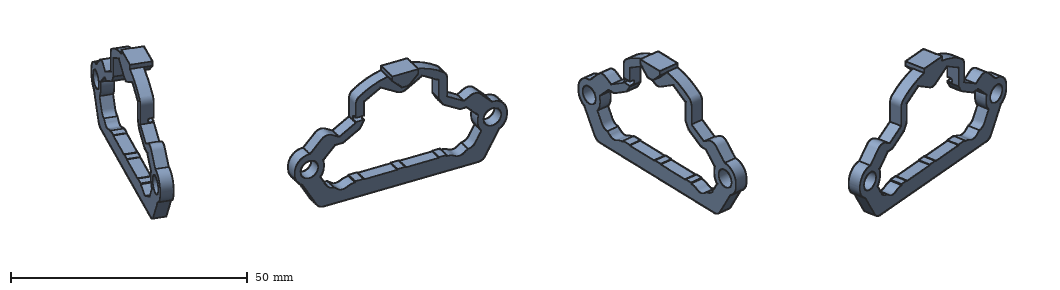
import cadquery as cq
import math

overall_width = 51.04
overall_depth = 4.97
overall_height = 28.77
frame_thickness = 3.0

slope_30 = math.tan(math.radians(30))
slope_60 = math.tan(math.radians(60))
corner_radius = 2.0

hole_diameter = 4.2
lug_x = 22.0
lug_z = 10.2
lug_radius = overall_width / 2 - lug_x
lug_stretch = 0.6

arch_shift = -0.15
wall = 2.0
arch_half_width = 11.0
arch_inner_half_width = arch_half_width - wall
arch_radius = 17.5
arch_top_z = 28.0
arch_center_z = arch_top_z - arch_radius
arch_end_z = arch_center_z + math.sqrt(arch_radius**2 - arch_half_width**2)
shoulder_z = 18.5
peak_x = 5.0
peak_z = 25.45
upright_top_z = peak_z - (arch_inner_half_width - peak_x) * slope_30
v_tip_z = peak_z - peak_x * slope_30

valley_x = 15.0
valley_z = shoulder_z - (valley_x - arch_half_width) * slope_30
arm_outer_sum = 35.9
arm_inner_sum = 30.2
bevel_x = 10.0
bevel_z = shoulder_z - (bevel_x - arch_inner_half_width) * slope_60
ledge_z = 14.42
ledge_x = bevel_x + (bevel_z - ledge_z) / slope_30

base_half_width = 19.7
leg_top_z = 8.0
leg_outer_x = base_half_width + leg_top_z / slope_60
pad_z = 4.02
pad_relief = 0.15
middle_pad_half_width = 1.0
leg_foot_x = 17.27
leg_inner_x = leg_foot_x + (lug_z - pad_z) / slope_60

dip_x = 14.0
dip_z = 2.93
dip_radius = 2.0
dip_outer_angle = math.radians(45)
dip_inner_angle = math.radians(30)
dip_outer_end_x = 16.1
dip_inner_end_x = 11.0
dip_inner_end_z = 3.75

tab_width = 6.3
tab_thickness = 1.1
tab_bottom_z = 25.35

notch_width = 1.0
notch_depth = 1.3
notch_z = 19.2

SIDES = (-1, 1)


def extrude_back(outline, depth=frame_thickness):
    return outline.extrude(-depth)


def polygon(points, depth=frame_thickness):
    return extrude_back(cq.Workplane("XZ").polyline(points).close(), depth)


def arch_x(side, distance):
    """X of a point at the given distance from the middle of the arch."""
    return arch_shift + side * distance


def round_corner(body, point, radius=corner_radius):
    """Fillet the edge that runs along Y through the given (x, z) point."""
    x, z = point
    reach = 0.01
    box = cq.selectors.BoxSelector(
        (x - reach, 0, z - reach),
        (x + reach, frame_thickness, z + reach),
    )
    return body.edges("|Y").edges(box).fillet(radius)


def lobe_corner(side):
    """Sharp corner where a rising shoulder meets the outer edge of an arm."""
    valley = side * arch_x(side, valley_x)
    x = (arm_outer_sum - valley_z + valley * slope_30) / (1 + slope_30)
    return (side * x, arm_outer_sum - x)


def outer_side(side):
    """Outer corners on one side, from the base up to the end of the arch."""
    return [
        (side * base_half_width, 0),
        (side * leg_outer_x, leg_top_z),
        (side * lug_x, arm_outer_sum - lug_x),
        lobe_corner(side),
        (arch_x(side, valley_x), valley_z),
        (arch_x(side, arch_half_width), shoulder_z),
        (arch_x(side, arch_half_width), arch_end_z),
    ]


def make_blank():
    left = outer_side(-1)
    right = outer_side(1)
    outline = (
        cq.Workplane("XZ")
        .polyline(right)
        .threePointArc((arch_shift, arch_top_z), left[-1])
        .polyline(left[::-1], includeCurrent=False)
        .close()
    )
    blank = extrude_back(outline)
    for side in SIDES:
        base_corner = (side * base_half_width, 0)
        arch_end = (arch_x(side, arch_half_width), arch_end_z)
        for sharp in (base_corner, lobe_corner(side), arch_end):
            blank = round_corner(blank, sharp)
    return blank


def window_side(side):
    """Window corners on one side, from the base up to the inner peak."""
    return [
        (side * leg_foot_x, pad_z),
        (side * leg_inner_x, lug_z),
        (side * (arm_inner_sum - lug_z), lug_z),
        (side * (arm_inner_sum - ledge_z), ledge_z),
        (arch_x(side, ledge_x), ledge_z),
        (arch_x(side, bevel_x), bevel_z),
        (arch_x(side, arch_inner_half_width), shoulder_z),
        (arch_x(side, arch_inner_half_width), upright_top_z),
        (arch_x(side, peak_x), peak_z),
    ]


def make_window():
    left = window_side(-1)
    right = window_side(1)
    v_tip = (arch_shift, v_tip_z)
    window = polygon(right + [v_tip] + left[::-1])
    for sharp in (left[0], right[0], v_tip):
        window = round_corner(window, sharp)
    return window


def make_dip(side):
    """Cutter for a round-bottomed dip that blends into the base on both ends."""

    def on_floor(angle):
        x = dip_x + dip_radius * math.sin(angle)
        z = dip_z + dip_radius * (1 - math.cos(angle))
        return (side * x, z)

    outer_blend = on_floor(dip_outer_angle)
    inner_blend = on_floor(-dip_inner_angle)
    outline = (
        cq.Workplane("XZ")
        .moveTo(*outer_blend)
        .threePointArc(on_floor(0), inner_blend)
        .tangentArcPoint((side * dip_inner_end_x, dip_inner_end_z), relative=False)
        .lineTo(side * dip_inner_end_x, pad_z)
        .lineTo(side * dip_outer_end_x, pad_z)
        .lineTo(*outer_blend)
        .close()
    )
    return extrude_back(outline)


def make_pad_relief(side):
    """Cutter for the shallow step between the middle pad and a side pad."""
    inner = arch_x(side, middle_pad_half_width)
    outer = arch_x(side, arch_inner_half_width)
    floor = pad_z - pad_relief
    return polygon([(inner, floor), (outer, floor), (outer, pad_z), (inner, pad_z)])


def make_lug(side):
    outline = (
        cq.Workplane("XZ")
        .center(side * lug_x, lug_z)
        .slot2D(2 * lug_radius + lug_stretch, 2 * lug_radius, 90)
    )
    return extrude_back(outline)


def make_hole(side):
    return extrude_back(cq.Workplane("XZ").center(side * lug_x, lug_z).circle(hole_diameter / 2))


def make_tab():
    """Flat-topped tab whose underside narrows at 45 degrees to a level bottom."""
    half = tab_width / 2
    edge_z = overall_height - tab_thickness
    bottom_half = half - (edge_z - tab_bottom_z)
    outline = [
        (-half, overall_height),
        (-half, edge_z),
        (-bottom_half, tab_bottom_z),
        (bottom_half, tab_bottom_z),
        (half, edge_z),
        (half, overall_height),
    ]
    return polygon(outline, overall_depth)


def make_notch():
    """Cutter for a round-ended notch across the upright, open to the back face."""
    upright_middle_x = arch_x(1, arch_half_width - wall / 2)
    cutter_length = 2 * wall
    return (
        cq.Workplane("YZ", origin=(upright_middle_x, frame_thickness, notch_z))
        .slot2D(2 * notch_depth, notch_width)
        .extrude(cutter_length / 2, both=True)
    )


result = make_blank().cut(make_window())
for side in SIDES:
    result = result.cut(make_dip(side)).cut(make_pad_relief(side))
    result = result.union(make_lug(side)).cut(make_hole(side))
result = result.union(make_tab()).cut(make_notch())